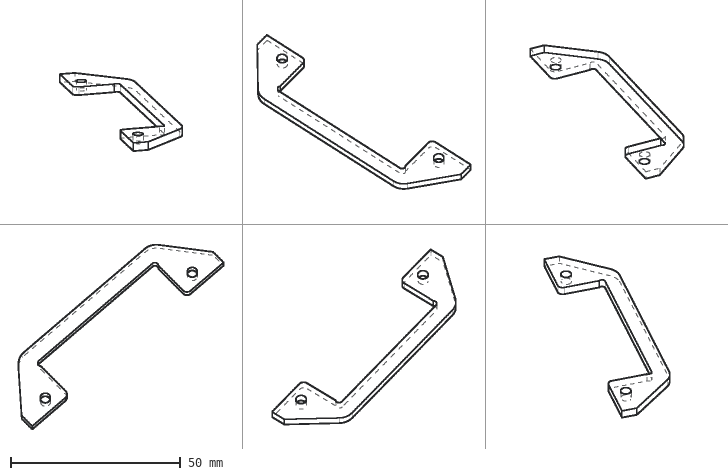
import cadquery as cq

length = 76.8
depth = 19.0
thickness = 2.5

end_height = 4.6
shoulder_inset = 11.75
foot_width = 14.8
bridge_width = 5.0
shoulder_radius = 5.0
foot_corner_radius = 1.5

relief_radius = 1.0
relief_overcut = 0.2

hole_diameter = 3.1
hole_inset = 8.9
hole_height = 4.0

half_length = length / 2
opening_half = half_length - foot_width
opening_height = depth - bridge_width
shoulder_x = half_length - shoulder_inset
hole_x = half_length - hole_inset
relief_x = opening_half + relief_overcut - relief_radius
relief_y = opening_height - relief_radius


def vertical_edges_at(x, y):
    """Select the vertical edges at (x, y) and at its mirror image (-x, y)."""
    margin = 0.1
    selector = None
    for side in (-1, 1):
        box = cq.selectors.BoxSelector(
            (side * x - margin, y - margin, -margin),
            (side * x + margin, y + margin, thickness + margin),
        )
        selector = box if selector is None else selector + box
    return selector


outline = [
    (-half_length, 0),
    (-opening_half, 0),
    (-opening_half, opening_height),
    (opening_half, opening_height),
    (opening_half, 0),
    (half_length, 0),
    (half_length, end_height),
    (shoulder_x, depth),
    (-shoulder_x, depth),
    (-half_length, end_height),
]
plate = cq.Workplane("XY").polyline(outline).close().extrude(thickness)

plate = plate.edges("|Z").edges(vertical_edges_at(shoulder_x, depth)).fillet(shoulder_radius)
plate = plate.edges("|Z").edges(vertical_edges_at(opening_half, 0)).fillet(foot_corner_radius)

corner_size = relief_radius - relief_overcut
for side in (-1, 1):
    corner_fill = (
        cq.Workplane("XY")
        .center(side * (opening_half - corner_size / 2), opening_height - relief_radius / 2)
        .rect(corner_size, relief_radius)
        .extrude(thickness)
    )
    relief = cq.Workplane("XY").center(side * relief_x, relief_y).circle(relief_radius).extrude(thickness)
    plate = plate.union(corner_fill).cut(relief)

holes = (
    cq.Workplane("XY")
    .pushPoints([(-hole_x, hole_height), (hole_x, hole_height)])
    .circle(hole_diameter / 2)
    .extrude(thickness)
)
result = plate.cut(holes)